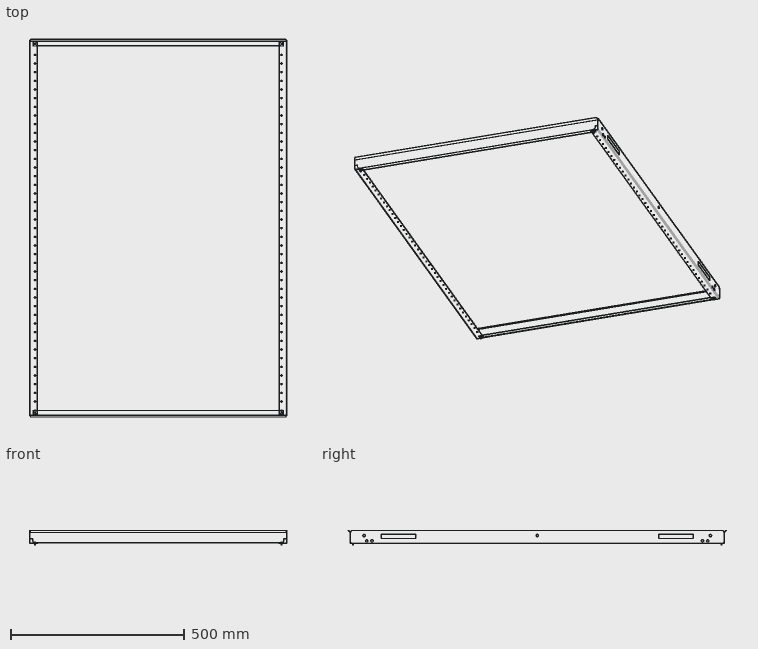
import cadquery as cq
import math

frame_width = 742.0
frame_length = 1090.0
side_height = 38.0
sheet = 1.5

lip_reach = 5.0
end_flange_depth = 14.0
lip_corner_trim = 4.0
relief_height = 12.0
relief_straight_height = 4.0
relief_top_width = 9.0
relief_bottom_width = 11.0
web_outer_y = frame_length / 2 - lip_reach
web_inner_y = web_outer_y - sheet
end_bottom_z = sheet

side_length = 2 * web_inner_y
side_flange_width = 23.0
bend_outer_radius = 3.0
bend_inner_radius = bend_outer_radius - sheet
wall_corner_chamfer = 3.0

flange_hole_diameter = 3.0
flange_hole_count = 41
hole_row_length = 1000.0
flange_hole_pitch = hole_row_length / (flange_hole_count - 1)
hole_row_spacing = 711.0
hole_row_x = hole_row_spacing / 2

wall_hole_diameter = 7.0
upper_hole_z = side_height - 15.0
upper_hole_y = 499.0
lower_hole_z = side_height - 30.0
lower_holes_y = (492.0, 476.0)
handle_length = 99.0
handle_height = 12.0
handle_y = 400.0
handle_z = side_height - 17.0

pin_y = 531.0
shank_diameter = 3.0
shank_projection = 4.0
head_diameter = 12.0
head_height = 1.6
socket_depth = 1.0


def pin_holes():
    """Cutters through both flanges for the four corner pins."""
    bottom = cq.Workplane("XY").workplane(offset=-shank_projection)
    corners = bottom.rect(2 * hole_row_x, 2 * pin_y, forConstruction=True).vertices()
    return corners.circle(shank_diameter / 2).extrude(shank_projection + end_bottom_z + sheet)


def side_profile():
    """L section in the XZ plane, wall outside at +X and flange pointing inwards."""
    outer_x = frame_width / 2
    outer_arc = bend_outer_radius * math.sqrt(0.5)
    inner_arc = bend_inner_radius * math.sqrt(0.5)
    bend_x = outer_x - bend_outer_radius
    bend_z = bend_outer_radius
    return (
        cq.Workplane("XZ", origin=(0, side_length / 2, 0))
        .moveTo(outer_x - side_flange_width, 0)
        .lineTo(bend_x, 0)
        .threePointArc((bend_x + outer_arc, bend_z - outer_arc), (outer_x, bend_z))
        .lineTo(outer_x, side_height)
        .lineTo(outer_x - sheet, side_height)
        .lineTo(outer_x - sheet, bend_z)
        .threePointArc((bend_x + inner_arc, bend_z - inner_arc), (bend_x, sheet))
        .lineTo(outer_x - side_flange_width, sheet)
        .close()
    )


def wall_openings():
    """Cutters for the round holes and the handle slots of the side wall."""
    round_holes = [(0, upper_hole_z)]
    for end in (-1, 1):
        round_holes.append((end * upper_hole_y, upper_hole_z))
        round_holes.extend((end * y, lower_hole_z) for y in lower_holes_y)
    wall_plane = cq.Workplane("YZ", origin=(frame_width / 2 - sheet, 0, 0))
    holes = wall_plane.pushPoints(round_holes).circle(wall_hole_diameter / 2).extrude(sheet)
    handles = (
        wall_plane.pushPoints([(-handle_y, handle_z), (handle_y, handle_z)])
        .rect(handle_length, handle_height)
        .extrude(sheet)
    )
    return holes.union(handles)


def flange_holes():
    """Cutters for the row of small holes along the side flange."""
    return (
        cq.Workplane("XY")
        .center(hole_row_x, 0)
        .rarray(11, flange_hole_pitch, 1, flange_hole_count)
        .circle(flange_hole_diameter / 2)
        .extrude(sheet)
    )


def side_rail():
    """Side rail on the +X side."""
    rail = side_profile().extrude(side_length)
    rail = rail.faces(">Z").edges("|X").chamfer(wall_corner_chamfer)
    return rail.cut(wall_openings()).cut(flange_holes()).cut(pin_holes())


def end_profile():
    """Web, lip and flange section in the YZ plane, at the +Y end."""
    tip_y = frame_length / 2
    slant = sheet * math.sqrt(0.5)
    lip_base_z = side_height - slant - lip_reach
    inner_bend_z = lip_base_z + sheet * math.tan(math.pi / 8)
    return cq.Workplane("YZ", origin=(-frame_width / 2, 0, 0)).polyline(
        [
            (web_outer_y, end_bottom_z),
            (web_outer_y, lip_base_z),
            (tip_y, lip_base_z + lip_reach),
            (tip_y - slant, side_height),
            (web_inner_y, inner_bend_z),
            (web_inner_y, end_bottom_z + sheet),
            (web_outer_y - end_flange_depth, end_bottom_z + sheet),
            (web_outer_y - end_flange_depth, end_bottom_z),
        ]
    ).close()


def both_ends(cutter):
    """The cutter together with its mirror image at the other end of the end rail."""
    return cutter.union(cutter.mirror("YZ"))


def lip_corner_trims():
    """Cutters that take the two tip corners of the lip off at 45 degrees in plan."""
    corner_x = frame_width / 2
    corner_y = frame_length / 2
    trim = (
        cq.Workplane("XY")
        .moveTo(corner_x, corner_y - lip_corner_trim)
        .lineTo(corner_x, corner_y)
        .lineTo(corner_x - lip_corner_trim, corner_y)
        .close()
        .extrude(side_height)
    )
    return both_ends(trim)


def corner_reliefs():
    """Cutters that clear the web and flange away from the side rail bends, flaring out at the bottom."""
    corner_x = frame_width / 2
    relief_top_z = end_bottom_z + relief_height
    relief = (
        cq.Workplane("XZ", origin=(0, web_outer_y, 0))
        .moveTo(corner_x, end_bottom_z)
        .lineTo(corner_x, relief_top_z)
        .lineTo(corner_x - relief_top_width, relief_top_z)
        .lineTo(corner_x - relief_top_width, relief_top_z - relief_straight_height)
        .lineTo(corner_x - relief_bottom_width, end_bottom_z)
        .close()
        .extrude(end_flange_depth)
    )
    return both_ends(relief)


def end_rail():
    """End rail at the +Y end."""
    rail = end_profile().extrude(frame_width)
    return rail.cut(lip_corner_trims()).cut(corner_reliefs()).cut(pin_holes())


def corner_pin(x, y):
    """Headed pin: the head rests on the end flange and the shank shows below the side flange."""
    head_z = end_bottom_z + sheet
    shank = (
        cq.Workplane("XY", origin=(x, y, -shank_projection))
        .circle(shank_diameter / 2)
        .extrude(shank_projection + head_z)
    )
    head = cq.Workplane("XY", origin=(x, y, head_z)).circle(head_diameter / 2).extrude(head_height)
    return shank.union(head).faces(">Z").workplane().hole(shank_diameter, socket_depth)


right_side_rail = side_rail()
left_side_rail = right_side_rail.mirror("YZ")
back_end_rail = end_rail()
front_end_rail = back_end_rail.mirror("XZ")
pins = [corner_pin(x, y).val() for x in (-hole_row_x, hole_row_x) for y in (-pin_y, pin_y)]

result = cq.Compound.makeCompound(
    [
        left_side_rail.val(),
        right_side_rail.val(),
        front_end_rail.val(),
        back_end_rail.val(),
        *pins,
    ]
)